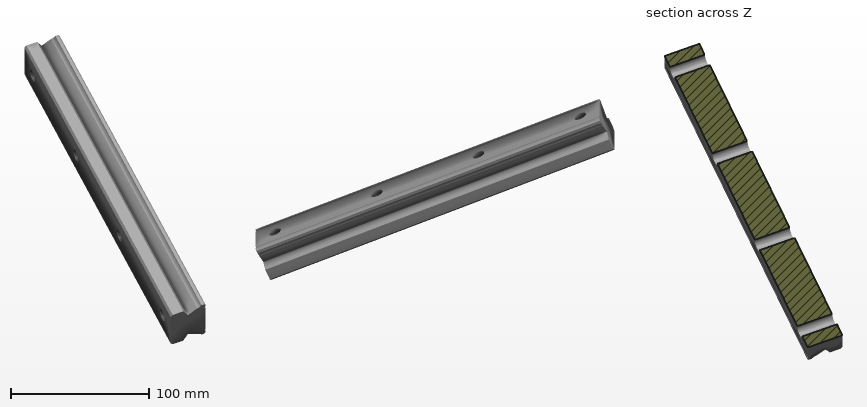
import cadquery as cq

length = 270.0
depth = 27.5
height = 34.0
half_depth = depth / 2
half_height = height / 2

front_chamfer = 1.5
back_chamfer = 1.0

lip_y = 10.5
track_y = 7.3
track_z = 15.0
track_middle_y = 9.2
track_middle_z = 15.7
root_width = 0.5
root_z = 11.0
groove_front_y = -3.8

relief_radius = 0.8
relief_z = 13.2

hole_diameter = 9.2
hole_pitch = 80.0
hole_count = 4


def make_groove(side):
    """Long V groove in the top (side = 1) or bottom (side = -1) of the rail."""
    return (
        cq.Workplane("YZ", origin=(-length / 2, 0, 0))
        .moveTo(lip_y, side * half_height)
        .threePointArc((track_middle_y, side * track_middle_z), (track_y, side * track_z))
        .lineTo(root_width / 2, side * root_z)
        .lineTo(-root_width / 2, side * root_z)
        .lineTo(groove_front_y, side * half_height)
        .close()
        .extrude(length)
    )


rail = cq.Workplane("XY").box(length, depth, height)
rail = rail.edges("|X and <Y").chamfer(front_chamfer)
rail = rail.edges("|X and >Y").chamfer(back_chamfer)

for side in (1, -1):
    rail = rail.cut(make_groove(side))

reliefs = (
    cq.Workplane("YZ", origin=(-length / 2, 0, 0))
    .pushPoints([(half_depth, relief_z), (half_depth, -relief_z)])
    .circle(relief_radius)
    .extrude(length)
)
rail = rail.cut(reliefs)

holes = (
    cq.Workplane("XZ", origin=(0, half_depth, 0))
    .rarray(hole_pitch, 2.7, hole_count, 1)
    .circle(hole_diameter / 2)
    .extrude(depth)
)
result = rail.cut(holes)